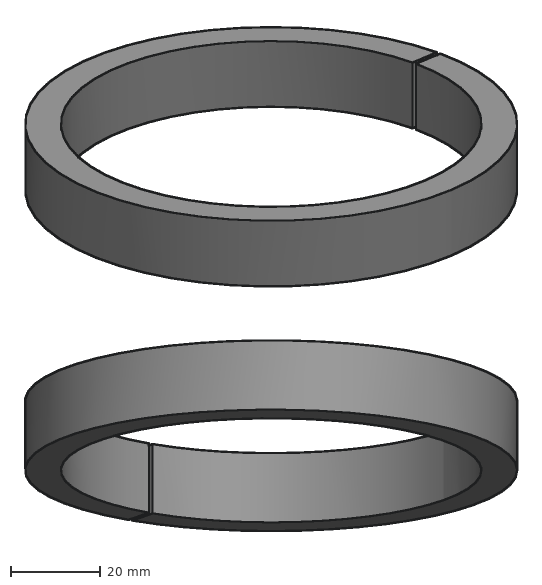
import cadquery as cq

outer_diameter = 110.0
wall_thickness = 8.0
height = 16.0
gap_width = 1.0

outer_radius = outer_diameter / 2
inner_radius = outer_radius - wall_thickness


def make_ring():
    """Full ring around the Z axis, standing on the XY plane."""
    return cq.Workplane("XY").circle(outer_radius).circle(inner_radius).extrude(height)


def make_gap_cutter():
    """Block from the ring axis out past the outer wall on the +Y side."""
    cutter_length = outer_radius + wall_thickness
    return cq.Workplane("XY").box(gap_width, cutter_length, height, centered=(True, False, False))


result = make_ring().cut(make_gap_cutter())